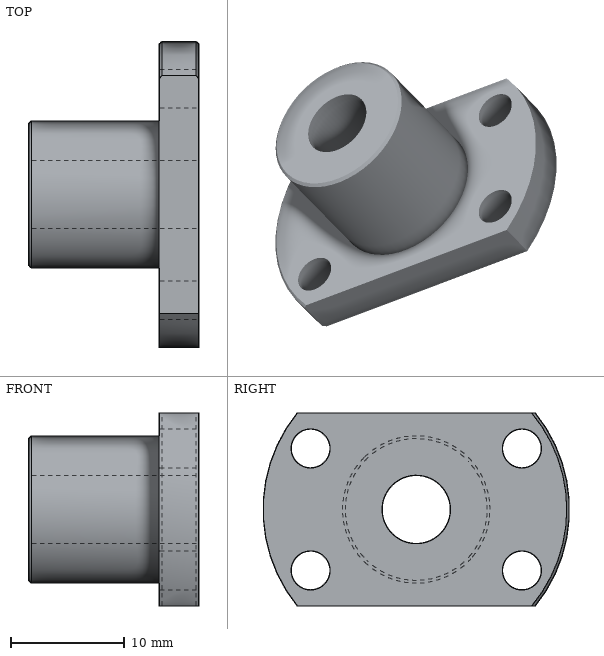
import cadquery as cq
import math

total_length = 15.0
flange_diameter = 27.0
flange_height = 17.0
flange_thickness = 3.5

barrel_diameter = 13.0
bore_diameter = 6.0
edge_chamfer = 0.25

hole_diameter = 3.4
pitch_radius = 10.75
hole_angle = math.radians(30)

barrel_length = total_length - flange_thickness


def make_flange():
    """Disc with two flats; the rounded +Y end is chamfered on both faces."""
    disc = cq.Workplane("YZ").circle(flange_diameter / 2).extrude(flange_thickness)
    chamfered_disc = disc.edges().chamfer(edge_chamfer)
    half_size = (flange_thickness, flange_diameter / 2, flange_height)
    plus_y_half = cq.Workplane("XY").box(*half_size, centered=(False, False, True))
    minus_y_half = plus_y_half.mirror("XZ")
    return chamfered_disc.intersect(plus_y_half).union(disc.intersect(minus_y_half))


def make_barrel():
    """Cylinder running toward -X from the flange, chamfered at its free end."""
    barrel = cq.Workplane("YZ").circle(barrel_diameter / 2).extrude(-barrel_length)
    return barrel.faces("<X").edges().chamfer(edge_chamfer)


def make_mounting_holes():
    hole_y = pitch_radius * math.cos(hole_angle)
    hole_z = pitch_radius * math.sin(hole_angle)
    centers = [(side * hole_y, level * hole_z) for side in (-1, 1) for level in (-1, 1)]
    return cq.Workplane("YZ").pushPoints(centers).circle(hole_diameter / 2).extrude(flange_thickness)


def make_bore():
    start = cq.Workplane("YZ").workplane(offset=-barrel_length)
    return start.circle(bore_diameter / 2).extrude(total_length)


result = make_flange().union(make_barrel()).cut(make_mounting_holes()).cut(make_bore())